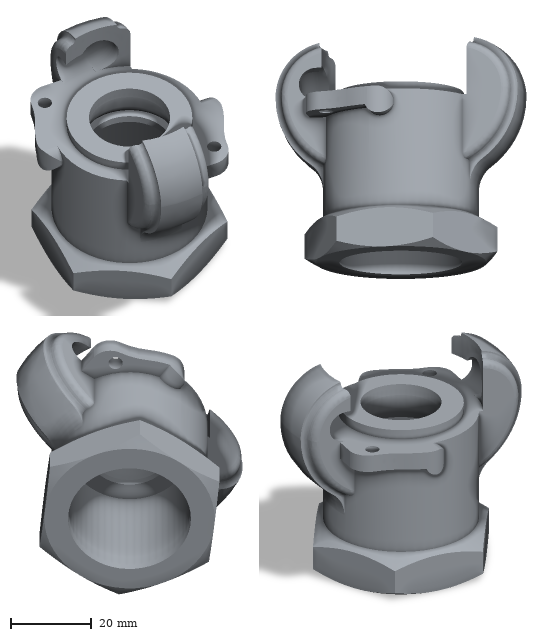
import cadquery as cq
import math


body_diameter = 38.49
body_top = 40.0
collar_diameter = 31.0
collar_top = 42.5
nut_across_flats = 42.0
nut_top = 10.85
nut_chamfer_angle = 30.0

mouth_diameter = 20.0
mouth_bottom = 39.5
flare_diameter = 25.7
shoulder_top = 32.0
shoulder_bottom = 30.0
shoulder_diameter = 21.5
thread_diameter = 30.29

claw_reach = 30.945
claw_top = 54.85
claw_level = 41.5
claw_lower_radius = 21.4
rib_width = 11.3
rib_foot_level = 18.1
flange_width = 17.5
flange_inset = 1.4
flange_round = 1.8
rib_root_fillet = 1.2
claw_clear_radius = 20.2

slot_radius = 4.0
slot_path_radius = 21.5
slot_sweep_angle = 40.0
pocket_radius = 5.2
pocket_axis_y = -0.9
pocket_straight_end = 21.9

lug_thickness = 4.5
lug_side_x = -21.1
lug_corner_start = (lug_side_x, -14.1)
lug_corner_end = (-16.65, -18.9)
lug_inflection = (-9.65, -21.2)
lug_tip_radius = 4.8
lug_tip_center = (-2.85, -18.7)
lug_tip_start_x = -3.95
ear_radius = 3.35
ear_axis_x = -1.4
ear_bottom = 33.35
lug_hole_diameter = 3.5
lug_hole_offset = 15.7
lug_overlap = 1.0

slot_level = body_top + slot_radius
pocket_level = body_top + pocket_radius
pocket_bottom_x = slot_path_radius + slot_radius
body_radius = body_diameter / 2
nut_corner_diameter = nut_across_flats / math.cos(math.pi / 6)
chamfer_slope = math.tan(math.radians(nut_chamfer_angle))
lower_center_x = claw_reach - claw_lower_radius
claw_overhang = claw_reach - claw_clear_radius
claw_rise = claw_top - claw_level
claw_upper_radius = (claw_overhang**2 + claw_rise**2) / (2 * claw_overhang)
upper_center_x = claw_reach - claw_upper_radius
claw_apex = claw_level + claw_upper_radius
lug_bottom = body_top - lug_thickness
ear_level = ear_bottom + ear_radius


def disc(diameter, bottom, top):
    return cq.Workplane("XY").workplane(offset=bottom).circle(diameter / 2).extrude(top - bottom)


def revolved_band(profile, width):
    """Profile revolved about Z, keeping the band of the given width around the +X axis."""
    ring = profile.revolve(360, (0, 0, 0), (0, 1, 0))
    slab = cq.Workplane("XY").box(claw_reach, width, claw_apex, centered=(False, True, False))
    return ring.intersect(slab)


def with_opposite(feature):
    """The feature together with its copy turned half a turn about Z."""
    return feature.union(feature.rotate((0, 0, 0), (0, 0, 1), 180))


def make_nut():
    """Hexagon with both ends chamfered by cones."""
    corner_radius = nut_corner_diameter / 2
    flat_radius = nut_across_flats / 2
    lower_chamfer = (corner_radius - flat_radius) * chamfer_slope
    upper_chamfer = (corner_radius - body_radius) * chamfer_slope
    hexagon = cq.Workplane("XY").polygon(6, nut_corner_diameter).extrude(nut_top)
    envelope = (
        cq.Workplane("XZ")
        .moveTo(0, 0)
        .lineTo(flat_radius, 0)
        .lineTo(corner_radius, lower_chamfer)
        .lineTo(corner_radius, nut_top - upper_chamfer)
        .lineTo(body_radius, nut_top)
        .lineTo(0, nut_top)
        .close()
        .revolve(360, (0, 0, 0), (0, 1, 0))
    )
    return hexagon.intersect(envelope)


def make_bore():
    """Stepped bore with a bell-shaped flare below the mouth."""
    mouth_radius = mouth_diameter / 2
    flare_radius = flare_diameter / 2
    shoulder_radius = shoulder_diameter / 2
    thread_radius = thread_diameter / 2
    return (
        cq.Workplane("XZ")
        .moveTo(0, collar_top)
        .lineTo(mouth_radius, collar_top)
        .lineTo(mouth_radius, mouth_bottom)
        .tangentArcPoint((flare_radius, shoulder_top), relative=False)
        .lineTo(shoulder_radius, shoulder_top)
        .lineTo(shoulder_radius, shoulder_bottom)
        .lineTo(thread_radius, shoulder_bottom)
        .lineTo(thread_radius, 0)
        .lineTo(0, 0)
        .close()
        .revolve(360, (0, 0, 0), (0, 1, 0))
    )


def make_rib():
    """Middle band of the claw, running tangentially down into the body side."""
    center_drop = claw_level - rib_foot_level
    body_gap = body_radius - lower_center_x
    gap_square = body_gap**2 + center_drop**2 - claw_lower_radius**2
    foot_radius = gap_square / (2 * (claw_lower_radius - body_gap))
    foot_center_x = body_radius + foot_radius
    share = claw_lower_radius / (claw_lower_radius + foot_radius)
    join_x = lower_center_x + share * (foot_center_x - lower_center_x)
    join_z = claw_level - share * center_drop
    profile = (
        cq.Workplane("XZ")
        .moveTo(upper_center_x, rib_foot_level)
        .lineTo(upper_center_x, claw_apex)
        .radiusArc((claw_reach, claw_level), claw_upper_radius)
        .tangentArcPoint((join_x, join_z), relative=False)
        .tangentArcPoint((body_radius, rib_foot_level), relative=False)
        .close()
    )
    return revolved_band(profile, rib_width)


def make_flange():
    """Wider part of the claw, set in from the rib and rounded along its outer edges."""
    upper_radius = claw_upper_radius - flange_inset
    lower_radius = claw_lower_radius - flange_inset
    end_drop = math.sqrt(lower_radius**2 - (upper_center_x - lower_center_x) ** 2)
    lower_end = (upper_center_x, claw_level - end_drop)
    profile = (
        cq.Workplane("XZ")
        .moveTo(*lower_end)
        .lineTo(upper_center_x, claw_level + upper_radius)
        .radiusArc((claw_reach - flange_inset, claw_level), upper_radius)
        .radiusArc(lower_end, lower_radius)
        .close()
    )
    blank = revolved_band(profile, flange_width)
    return blank.faces("<Y or >Y").edges("not %LINE").fillet(flange_round)


def make_claw():
    """Rib and flange joined, with a small fillet where the rib rises from the flange."""
    claw = make_rib().union(make_flange())
    flange_reach = claw_reach - flange_inset
    margin = 0.01
    for side in (-1, 1):
        rib_side = side * rib_width / 2
        root_zone = cq.selectors.BoxSelector(
            (0, rib_side - margin, rib_foot_level + margin),
            (flange_reach + margin, rib_side + margin, claw_apex - flange_inset + margin),
            boundingbox=True,
        )
        claw = claw.edges(root_zone).edges("not %LINE").fillet(rib_root_fillet)
    return claw


def make_claw_recess():
    """Slot curving about Z to the +Y end of the claw from a round pocket sunk along X."""
    slot_top = body_top + 2 * slot_radius
    slot = (
        cq.Workplane("XZ")
        .moveTo(body_radius, body_top)
        .lineTo(slot_path_radius, body_top)
        .threePointArc((slot_path_radius + slot_radius, slot_level), (slot_path_radius, slot_top))
        .lineTo(body_radius, slot_top)
        .close()
        .revolve(slot_sweep_angle, (0, 0, 0), (0, 1, 0))
    )
    pocket = (
        cq.Workplane("YZ")
        .center(pocket_axis_y, pocket_level)
        .circle(pocket_radius)
        .extrude(pocket_bottom_x)
        .faces(">X")
        .edges()
        .fillet(pocket_bottom_x - pocket_straight_end)
    )
    return slot.union(pocket)


def make_lug():
    """Plate beside the body, ending in a rounded ear that hangs below it."""
    tip_x, tip_y = lug_tip_center
    tip_start_drop = math.sqrt(lug_tip_radius**2 - (tip_x - lug_tip_start_x) ** 2)
    inner_y = lug_overlap - flange_width / 2
    outline = (
        cq.Workplane("XY")
        .moveTo(tip_x + lug_tip_radius, tip_y)
        .radiusArc((lug_tip_start_x, tip_y - tip_start_drop), lug_tip_radius)
        .tangentArcPoint(lug_inflection, relative=False)
        .tangentArcPoint(lug_corner_end, relative=False)
        .tangentArcPoint(lug_corner_start, relative=False)
        .lineTo(lug_side_x, inner_y)
        .lineTo(tip_x + lug_tip_radius, inner_y)
        .close()
        .extrude(body_top)
    )
    plate_length = ear_axis_x - lug_side_x
    plate_depth = body_diameter
    plate = cq.Workplane("XY").box(plate_length, plate_depth, lug_thickness, centered=False)
    plate = plate.translate((lug_side_x, -plate_depth, lug_bottom))
    ear = cq.Workplane("XZ").center(ear_axis_x, ear_level).circle(ear_radius).extrude(plate_depth)
    hole = disc(lug_hole_diameter, 0, body_top).translate((-lug_hole_offset, -lug_hole_offset, 0))
    return outline.intersect(plate.union(ear)).cut(hole)


claw_clearance = disc(2 * claw_clear_radius, body_top, claw_apex)
claw = make_claw().cut(claw_clearance).cut(make_claw_recess())

result = (
    make_nut()
    .union(disc(body_diameter, nut_top, body_top))
    .union(with_opposite(claw))
    .union(with_opposite(make_lug()))
    .union(disc(collar_diameter, nut_top, collar_top))
    .cut(make_bore())
)